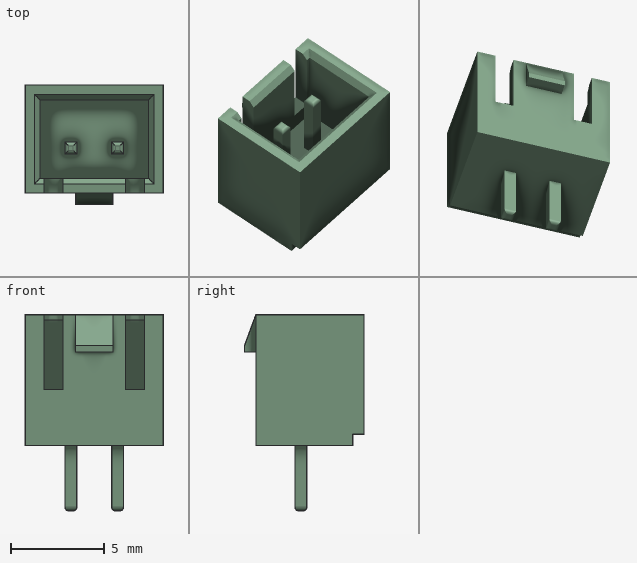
import cadquery as cq


width = 7.4
depth = 5.8
total_height = 10.5
pin_tail = 3.5
height = total_height - pin_tail
wall = 0.8
cavity_depth = 5.0
lead_in = 0.29
step = 0.6

slot_width = 1.0
slot_depth = 4.0
slot_edge_offset = 1.02

latch_width = 2.0
latch_height = 2.01
latch_reach = 0.61
latch_lip = 0.36

pin_size = 0.64
pin_pitch = 2.5
pin_y = 2.42
pin_top_drop = 1.0
pin_tip_radius = 0.2


def block(x, y, z, size_x, size_y, size_z):
    """Box given by its minimum corner and its sizes."""
    return cq.Workplane("XY").box(size_x, size_y, size_z, centered=False).translate((x, y, z))


def make_housing():
    """Open-topped shell with a chamfered mouth and a notched rear bottom edge."""
    floor_z = total_height - cavity_depth
    cavity_width = width - 2 * wall
    cavity_length = depth - 2 * wall
    body = block(0, 0, pin_tail, width, depth, height)
    body = body.cut(block(wall, wall, floor_z, cavity_width, cavity_length, cavity_depth))
    body = body.cut(block(0, depth - step, pin_tail, width, step, step))
    mouth = (
        cq.Workplane("XY", origin=(width / 2, depth / 2, total_height - lead_in))
        .rect(cavity_width, cavity_length)
        .workplane(offset=lead_in)
        .rect(cavity_width + 2 * lead_in, cavity_length + 2 * lead_in)
        .loft(ruled=True)
    )
    return body.cut(mouth)


def make_slot(x):
    """Cutter through the front wall, open at the rim."""
    return block(x, 0, total_height - slot_depth, slot_width, wall, slot_depth)


def make_latch():
    """Wedge sloping outward from the rim to an upright lip."""
    bottom = total_height - latch_height
    return (
        cq.Workplane("YZ", origin=((width - latch_width) / 2, 0, 0))
        .moveTo(0, total_height)
        .lineTo(-latch_reach, bottom + latch_lip)
        .lineTo(-latch_reach, bottom)
        .lineTo(0, bottom)
        .close()
        .extrude(latch_width)
    )


def make_pin(x):
    """Square pin with rounded edges around both ends."""
    return (
        cq.Workplane("XY", origin=(x, pin_y, 0))
        .rect(pin_size, pin_size)
        .extrude(total_height - pin_top_drop)
        .faces("<Z or >Z")
        .edges()
        .fillet(pin_tip_radius)
    )


result = make_housing().union(make_latch())
for slot_x in (slot_edge_offset, width - slot_edge_offset - slot_width):
    result = result.cut(make_slot(slot_x))
for side in (-1, 1):
    result = result.union(make_pin(width / 2 + side * pin_pitch / 2))